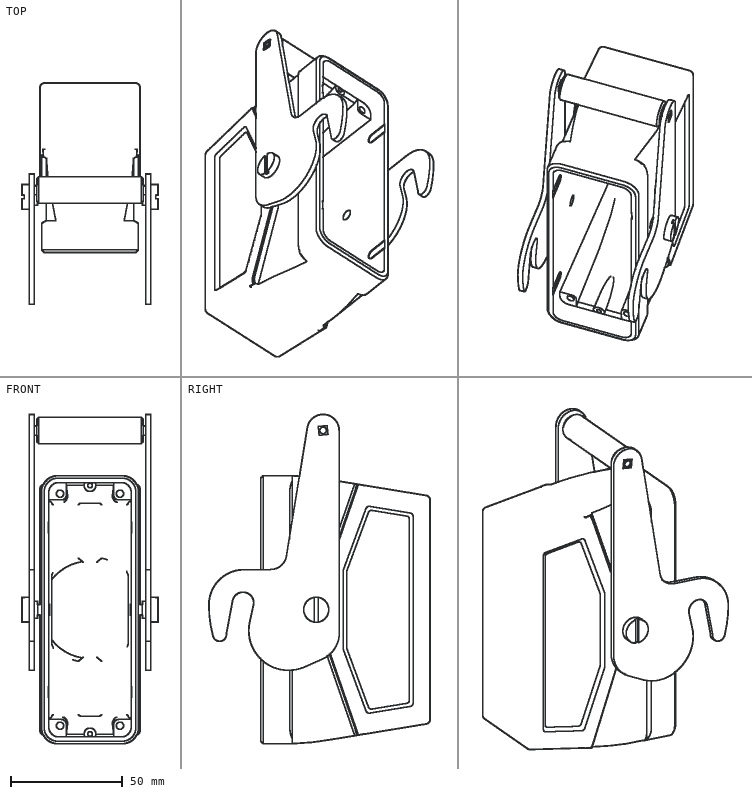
import cadquery as cq
import math


REAR_HALF_X = 22.4
RIM_HALF_X = 21.7
RIM_HALF_Z = 60.0
RIM_Y = -24.9
RIM_CORNER_R = 7.2
RIM_CHAMFER = 1.2
BACK_Y = 51.0
BACK_HALF_Z = 50.8
BEND_START_Y = -13.7
BEND_END_Y = 7.0
BEND_END_Z = 58.0
BACK_EDGE_R = 2.2

PANEL_DEPTH = 2.8
POCKET_DEPTH = 1.5
BORDER_WIDTH = 1.6
VERTEX_HALF_Z = 17.7
PANEL_FRONT_Y = -12.2
PANEL_REAR_Y = 5.6
PANEL_TIP_Y = 21.4
PANEL_TIP_Z = 63.4
PANEL_FLAT_HALF_Z = 55.0
POCKET_BACK_Y = 43.3
POCKET_BACK_HALF_Z = 43.0
POCKET_TOP_Y = 22.7
POCKET_TOP_HALF_Z = 46.5
POCKET_FRONT_Y = 12.1
POCKET_CORNER_R = 2.4

MOUTH_HALF_X = 18.4
MOUTH_HALF_Z = 56.9
MOUTH_CORNER_R = 4.4
LEDGE_Y = -15.6
FLOOR_Y = 47.5
DRAFT = 1.2
STEP_Y = -13.7
STEP_Z = 55.7
INNER_BEND_Y = 19.6
INNER_BEND_Z = 50.1
INNER_FLOOR_Z = 47.5
FLOOR_EDGE_R = 0.7
GROOVE_Z = 36.8
GROOVE_WIDTH = 4.7
GROOVE_DEPTH = 0.3
GROOVE_END_Y = -14.1

CROSS_HEIGHT = 2.7
CROSS_TAPER = 32
CROSS_DISC_R = 23.3
CROSS_BAR_HALF_X = 4.9
CROSS_EDGE_R = 0.6

BOSS_X = 10.6
BOSS_Z = 49.1
BOSS_CORNER_R = 2.2
BOSS_OVERLAP = 3.0
BOSS_HOLE_X = 13.4
BOSS_HOLE_Z = 51.9
BOSS_HOLE_R = 1.6
STUD_Z = 55.5
STUD_R = 2.7
STUD_HOLE_R = 1.0
STUD_LENGTH = 32.4
BLIND_DEPTH = 11.8
PIN_DIAMETER = 4.9
PIN_R = PIN_DIAMETER / 2

ARM_INNER_X = 24.9
ARM_THICKNESS = 2.4
TIP_Y = 3.1
TIP_Z = 80.2
TIP_R = 7.2
EDGE_LEAN = 9.2
SHOULDER_Z = 18.0
SHOULDER_R = 7.2
HOOK_Y = -32.3
HOOK_OUTER_R = 15.8
HOOK_TIP_Y = -43.2
HOOK_TIP_Z = -11.0
HOOK_TIP_R = 3.1
HOOK_TIP_START = 195
HOOK_TIP_END = 365
SLOT_Y = -32.7
SLOT_Z = 3.1
SLOT_R = 4.7
SLOT_START = 172
SLOT_END = -15
CAM_Y = -12.4
CAM_Z = -9.3
CAM_R = 17.8
CAM_START = 165
HEEL_R = 12.7
HEEL_ANGLE = 24

HEAD_R = 5.6
OVERALL_X = 60.9
HEAD_END_X = OVERALL_X / 2
SCREW_SLOT_WIDTH = 1.6
SCREW_SLOT_DEPTH = 1.0
COLLAR_R = 3.8
COLLAR_END_X = 23.5
PIN_END_X = 18.1
HANDLE_DIAMETER = 12.0
HANDLE_R = HANDLE_DIAMETER / 2
HANDLE_HALF_LENGTH = 23.7
HANDLE_CHAMFER = 0.9
SQUARE = 4.0
SQUARE_TURN = 6
SQUARE_RECESS = 0.5
RIVET_R = 1.5


def mirror_x(shape):
    return shape.mirror("YZ")


def extrude_along_y(sketch_plane_y, half_x, half_z, length, corner_r):
    """Rounded rectangle centred on the Y axis, extruded toward +Y."""
    plane = cq.Workplane("XZ", origin=(0, sketch_plane_y, 0))
    return plane.rect(2 * half_x, 2 * half_z).extrude(-length).edges("|Y").fillet(corner_r)


def cylinder_x(radius, x_start, x_end, y=0.0, z=0.0):
    return cq.Workplane("YZ", origin=(x_start, y, z)).circle(radius).extrude(x_end - x_start)


def cylinder_y(radius, y_start, length, x, z):
    return cq.Workplane("XZ", origin=(x, y_start, z)).circle(radius).extrude(-length)


def mirrored_block(half_x, upper_outline):
    """Block across X from a closed (y, z) outline of its upper half, mirrored about Z = 0."""
    upper = upper_outline.extrude(2 * half_x)
    return upper.union(upper.mirror("XY")).clean()


def recess_outline(upper_points):
    """Closed (y, z) outline on the -X side of the housing, mirrored about Z = 0."""
    lower_points = [(y, -z) for y, z in reversed(upper_points)]
    plane = cq.Workplane("YZ", origin=(-REAR_HALF_X, 0, 0))
    return plane.polyline(upper_points + lower_points).close()


def border_taper(depth):
    return math.degrees(math.atan(BORDER_WIDTH / depth))


def panel_recess():
    """V-backed flat panel between the rear block and the front rim."""
    outline = recess_outline([
        (PANEL_FRONT_Y, PANEL_TIP_Z),
        (PANEL_TIP_Y, PANEL_TIP_Z),
        (PANEL_REAR_Y, VERTEX_HALF_Z),
    ])
    panel = outline.extrude(PANEL_DEPTH, taper=border_taper(PANEL_DEPTH))
    half_x = REAR_HALF_X - PANEL_DEPTH
    corner_r = RIM_HALF_Z - PANEL_FLAT_HALF_Z
    core = extrude_along_y(RIM_Y, half_x, RIM_HALF_Z, BACK_Y - RIM_Y, corner_r)
    below = panel.faces(">X").wires().toPending().workplane().extrude(corner_r)
    return panel.union(below.cut(core))


def side_pocket():
    outline = recess_outline([
        (POCKET_BACK_Y, POCKET_BACK_HALF_Z),
        (POCKET_TOP_Y, POCKET_TOP_HALF_Z),
        (POCKET_FRONT_Y, VERTEX_HALF_Z),
    ])
    pocket = outline.extrude(POCKET_DEPTH, taper=border_taper(POCKET_DEPTH))
    return pocket.edges("not #X").fillet(POCKET_CORNER_R)


def housing_exterior():
    upper_outline = (
        cq.Workplane("YZ", origin=(-REAR_HALF_X, 0, 0))
        .moveTo(RIM_Y, 0)
        .lineTo(RIM_Y, RIM_HALF_Z)
        .lineTo(BEND_START_Y, RIM_HALF_Z)
        .tangentArcPoint((BEND_END_Y, BEND_END_Z), relative=False)
        .lineTo(BACK_Y, BACK_HALF_Z)
        .lineTo(BACK_Y, 0)
        .close()
    )
    full = mirrored_block(REAR_HALF_X, upper_outline)
    rim_prism = extrude_along_y(RIM_Y, RIM_HALF_X, RIM_HALF_Z, PANEL_TIP_Y - RIM_Y, RIM_CORNER_R)
    front = full.intersect(rim_prism.faces("<Y").edges().chamfer(RIM_CHAMFER))

    back_edges = cq.selectors.BoxSelector(
        (-2 * REAR_HALF_X, (BEND_END_Y + BACK_Y) / 2, -RIM_HALF_Z),
        (2 * REAR_HALF_X, 2 * BACK_Y, RIM_HALF_Z),
    )
    ahead_of_rear = (
        cq.Workplane("YZ", origin=(-2 * REAR_HALF_X, 0, 0))
        .polyline([
            (2 * RIM_Y, PANEL_TIP_Z),
            (PANEL_TIP_Y, PANEL_TIP_Z),
            (PANEL_REAR_Y, VERTEX_HALF_Z),
            (PANEL_REAR_Y, -VERTEX_HALF_Z),
            (PANEL_TIP_Y, -PANEL_TIP_Z),
            (2 * RIM_Y, -PANEL_TIP_Z),
        ])
        .close()
        .extrude(4 * REAR_HALF_X)
    )
    rear = full.cut(ahead_of_rear).edges(back_edges).fillet(BACK_EDGE_R)
    body = rear.union(front)
    for recess in (panel_recess(), side_pocket()):
        body = body.cut(recess).cut(mirror_x(recess))
    return body


def floor_cross():
    """Round pad with a bar along Z, both with sloping flanks, standing on the cavity floor."""
    base = cq.Workplane("XZ", origin=(0, FLOOR_Y, 0))
    disc = base.circle(CROSS_DISC_R).extrude(CROSS_HEIGHT, taper=CROSS_TAPER)
    bar = base.rect(2 * CROSS_BAR_HALF_X, 2 * RIM_HALF_Z).extrude(CROSS_HEIGHT, taper=CROSS_TAPER)
    cross = disc.union(bar)
    return cross.faces("<Y").edges().fillet(CROSS_EDGE_R)


def corner_boss():
    """Screw boss in the (+X, +Z) corner, widening slightly toward the floor."""
    far_x = MOUTH_HALF_X + BOSS_OVERLAP
    far_z = MOUTH_HALF_Z + BOSS_OVERLAP
    width = far_x - BOSS_X
    height = far_z - BOSS_Z
    return (
        cq.Workplane("XZ", origin=((BOSS_X + far_x) / 2, LEDGE_Y, (BOSS_Z + far_z) / 2))
        .sketch()
        .rect(width, height)
        .vertices()
        .fillet(BOSS_CORNER_R)
        .finalize()
        .extrude(LEDGE_Y - FLOOR_Y, taper=-DRAFT)
    )


def in_four_corners(shape):
    pair = [shape, mirror_x(shape)]
    return pair + [s.mirror("XY") for s in pair]


def mouth_groove():
    """Round-ended groove running in from the rim on the +X mouth wall."""
    radius = GROOVE_WIDTH / 2
    return (
        cq.Workplane("YZ", origin=(0, 0, GROOVE_Z))
        .moveTo(RIM_Y, -radius)
        .lineTo(GROOVE_END_Y - radius, -radius)
        .threePointArc((GROOVE_END_Y, 0), (GROOVE_END_Y - radius, radius))
        .lineTo(RIM_Y, radius)
        .close()
        .extrude(MOUTH_HALF_X + GROOVE_DEPTH)
    )


def housing_cavity():
    mouth = extrude_along_y(RIM_Y, MOUTH_HALF_X, MOUTH_HALF_Z, LEDGE_Y - RIM_Y, MOUTH_CORNER_R)
    drafted = (
        mouth.faces(">Y").wires().toPending().workplane()
        .extrude(FLOOR_Y - LEDGE_Y, taper=DRAFT)
    )
    upper_outline = (
        cq.Workplane("YZ", origin=(-MOUTH_HALF_X, 0, 0))
        .polyline([
            (RIM_Y, 0),
            (RIM_Y, MOUTH_HALF_Z),
            (LEDGE_Y, MOUTH_HALF_Z),
            (STEP_Y, STEP_Z),
            (INNER_BEND_Y, INNER_BEND_Z),
            (FLOOR_Y, INNER_FLOOR_Z),
            (FLOOR_Y, 0),
        ])
        .close()
    )
    bounds = mirrored_block(MOUTH_HALF_X, upper_outline)
    cavity = drafted.intersect(bounds)
    cavity = cavity.cut(floor_cross())
    cavity = cavity.faces(">Y").edges().fillet(FLOOR_EDGE_R)
    for boss in in_four_corners(corner_boss()):
        cavity = cavity.cut(boss)
    stud = cylinder_y(STUD_R, LEDGE_Y, STUD_LENGTH, 0, STUD_Z)
    cavity = cavity.cut(stud).cut(stud.mirror("XY"))
    for groove in in_four_corners(mouth_groove()):
        cavity = cavity.union(groove)
    return cavity


def make_housing():
    body = housing_exterior().cut(housing_cavity())
    boss_hole = cylinder_y(BOSS_HOLE_R, LEDGE_Y, BLIND_DEPTH, BOSS_HOLE_X, BOSS_HOLE_Z)
    for hole in in_four_corners(boss_hole):
        body = body.cut(hole)
    stud_hole = cylinder_y(STUD_HOLE_R, LEDGE_Y, BLIND_DEPTH, 0, STUD_Z)
    body = body.cut(stud_hole).cut(stud_hole.mirror("XY"))
    return body.cut(cylinder_x(PIN_R, -REAR_HALF_X, REAR_HALF_X))


def polar(center, radius, angle):
    """Point on a circle in (y, z), angle in degrees from +Y toward +Z."""
    turn = math.radians(angle)
    return (center[0] + radius * math.cos(turn), center[1] + radius * math.sin(turn))


def arm_outline():
    """Closed outline of one lever arm, starting at the back edge and running over the top."""
    tip = (TIP_Y, TIP_Z)
    hook_tip = (HOOK_TIP_Y, HOOK_TIP_Z)
    slot = (SLOT_Y, SLOT_Z)
    cam = (CAM_Y, CAM_Z)
    back_y = TIP_Y + TIP_R

    edge_normal = 180 - EDGE_LEAN
    edge_top = polar(tip, TIP_R, edge_normal)
    shoulder_z = SHOULDER_Z + SHOULDER_R
    offset_point = polar(tip, TIP_R + SHOULDER_R, edge_normal)
    slope = math.tan(math.radians(EDGE_LEAN))
    shoulder = (offset_point[0] - (offset_point[1] - shoulder_z) * slope, shoulder_z)
    edge_bottom = polar(shoulder, SHOULDER_R, -EDGE_LEAN)
    shoulder_mid = polar(shoulder, SHOULDER_R, -(90 + EDGE_LEAN) / 2)

    hook = (HOOK_Y, SHOULDER_Z - HOOK_OUTER_R)

    heel_normal = HEEL_ANGLE - 90
    cam_end = polar(cam, CAM_R, heel_normal)
    heel_y = back_y - HEEL_R
    heel_slope = math.tan(math.radians(HEEL_ANGLE))
    cam_offset = polar(cam, CAM_R - HEEL_R, heel_normal)
    heel = (heel_y, cam_offset[1] + (heel_y - cam_offset[0]) * heel_slope)

    return (
        cq.Workplane("YZ", origin=(ARM_INNER_X, 0, 0))
        .moveTo(back_y, heel[1])
        .lineTo(back_y, TIP_Z)
        .threePointArc(polar(tip, TIP_R, edge_normal / 2), edge_top)
        .lineTo(*edge_bottom)
        .threePointArc(shoulder_mid, (shoulder[0], SHOULDER_Z))
        .lineTo(HOOK_Y, SHOULDER_Z)
        .threePointArc(polar(hook, HOOK_OUTER_R, 135), polar(hook, HOOK_OUTER_R, 180))
        .tangentArcPoint(polar(hook_tip, HOOK_TIP_R, HOOK_TIP_START), relative=False)
        .threePointArc(
            polar(hook_tip, HOOK_TIP_R, (HOOK_TIP_START + HOOK_TIP_END) / 2),
            polar(hook_tip, HOOK_TIP_R, HOOK_TIP_END),
        )
        .lineTo(*polar(slot, SLOT_R, SLOT_START))
        .threePointArc(
            polar(slot, SLOT_R, (SLOT_START + SLOT_END) / 2),
            polar(slot, SLOT_R, SLOT_END),
        )
        .lineTo(*polar(cam, CAM_R, CAM_START))
        .threePointArc(polar(cam, CAM_R, (CAM_START + 360 + heel_normal) / 2), cam_end)
        .lineTo(*polar(heel, HEEL_R, heel_normal))
        .threePointArc(polar(heel, HEEL_R, heel_normal / 2), (back_y, heel[1]))
        .close()
    )


def square_prism(x_start, x_end):
    plane = cq.Workplane("YZ", origin=(x_start, TIP_Y, TIP_Z)).transformed(rotate=(0, 0, SQUARE_TURN))
    return plane.rect(SQUARE, SQUARE).extrude(x_end - x_start)


def make_arm():
    """Arm on the +X side with its pivot screw and the square end of the handle."""
    outer_x = ARM_INNER_X + ARM_THICKNESS
    arm = arm_outline().extrude(ARM_THICKNESS)

    head = cylinder_x(HEAD_R, outer_x, HEAD_END_X)
    screw_slot = (
        cq.Workplane("YZ", origin=(HEAD_END_X - SCREW_SLOT_DEPTH, 0, 0))
        .rect(SCREW_SLOT_WIDTH, 2 * HEAD_R)
        .extrude(SCREW_SLOT_DEPTH)
    )
    collar = cylinder_x(COLLAR_R, COLLAR_END_X, ARM_INNER_X)
    pin = cylinder_x(PIN_R, PIN_END_X, COLLAR_END_X)
    arm = arm.union(head.cut(screw_slot)).union(collar).union(pin)

    arm = arm.union(square_prism(HANDLE_HALF_LENGTH, ARM_INNER_X))
    square_recess = square_prism(outer_x - SQUARE_RECESS, outer_x)
    rivet = cylinder_x(RIVET_R, outer_x - SQUARE_RECESS, outer_x, TIP_Y, TIP_Z)
    return arm.cut(square_recess.cut(rivet))


def make_lever():
    handle = cylinder_x(HANDLE_R, -HANDLE_HALF_LENGTH, HANDLE_HALF_LENGTH, TIP_Y, TIP_Z)
    handle = handle.edges().chamfer(HANDLE_CHAMFER)
    arm = make_arm()
    return handle.union(arm).union(mirror_x(arm))


housing = make_housing()
lever = make_lever()
result = cq.Compound.makeCompound([housing.val(), lever.val()])